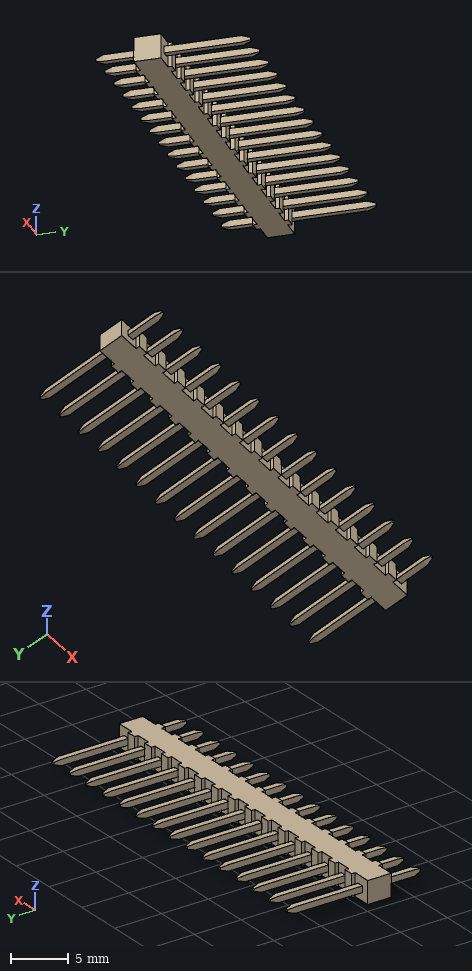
import cadquery as cq

pin_count = 15
pitch = 2.54
pin_width = 0.66
tip_width = 0.27
tip_length = 0.76
pin_length = 14.22
tail_reach = 5.08

housing_length = 37.846
housing_depth = 2.54
housing_height = 2.36
rib_width = 1.016
rib_projection = 0.38

first_pin_x = -pitch * (pin_count - 1) / 2
tail_end_y = -tail_reach
head_end_y = tail_end_y + pin_length


def make_housing():
    """Plain bar centred on the origin."""
    return cq.Workplane("XY").box(housing_length, housing_depth, housing_height)


def make_rib(x):
    """Full-height rib midway between two pins, standing out on both long sides."""
    rib_depth = housing_depth + 2 * rib_projection
    return cq.Workplane("XY").box(rib_width, rib_depth, housing_height).translate((x, 0, 0))


def make_tip(x, end_y, inward):
    """Square pyramid frustum narrowing to end_y; inward is the Y sign toward the housing."""
    plane = cq.Plane(origin=(x, end_y, 0), xDir=(1, 0, 0), normal=(0, inward, 0))
    return (
        cq.Workplane(plane)
        .rect(tip_width, tip_width)
        .workplane(offset=tip_length)
        .rect(pin_width, pin_width)
        .loft(ruled=True)
    )


def make_pin(x):
    """Square pin along Y with a tapered tip at each end."""
    shank_length = pin_length - 2 * tip_length
    shank_centre_y = (tail_end_y + head_end_y) / 2
    shank = cq.Workplane("XY").box(pin_width, shank_length, pin_width).translate((x, shank_centre_y, 0))
    return shank.union(make_tip(x, tail_end_y, 1)).union(make_tip(x, head_end_y, -1))


result = make_housing()
for index in range(pin_count - 1):
    result = result.union(make_rib(first_pin_x + (index + 0.5) * pitch))
for index in range(pin_count):
    result = result.union(make_pin(first_pin_x + index * pitch))